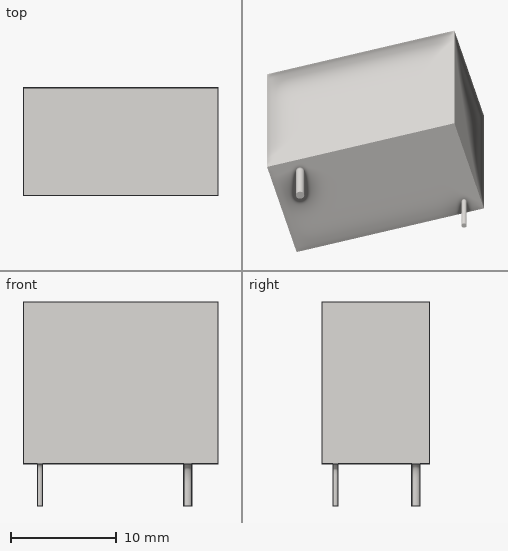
import cadquery as cq

body_length = 18.4
body_width = 10.2
body_height = 15.3
pin_length = 4.0

thin_pin_diameter = 0.5
thick_pin_diameter = 0.8
pin_pitch_x = 13.95
pin_pitch_y = 7.6
thin_pin_edge_x = 1.58

thin_pin_x = thin_pin_edge_x - body_length / 2
thin_pin_y = -pin_pitch_y / 2
thick_pin_x = thin_pin_x + pin_pitch_x
thick_pin_y = thin_pin_y + pin_pitch_y


def make_body():
    """Plain rectangular case with its underside at Z = 0."""
    return cq.Workplane("XY").box(body_length, body_width, body_height, centered=(True, True, False))


def make_pin(x, y, diameter):
    """Round pin hanging down from the underside of the body."""
    return cq.Workplane("XY").center(x, y).circle(diameter / 2).extrude(-pin_length)


thin_pin = make_pin(thin_pin_x, thin_pin_y, thin_pin_diameter)
thick_pin = make_pin(thick_pin_x, thick_pin_y, thick_pin_diameter)

result = make_body().union(thin_pin).union(thick_pin)